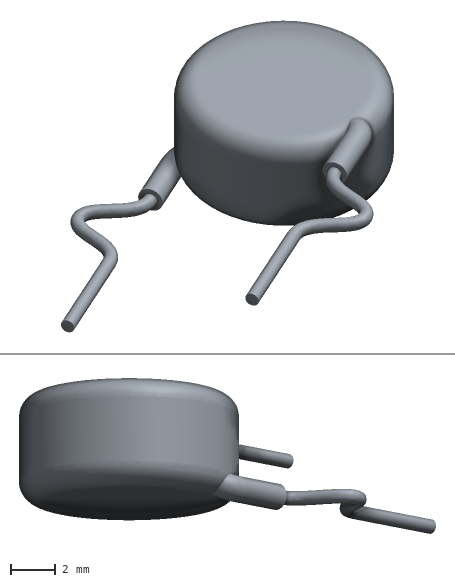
import cadquery as cq
import math

disc_diameter = 10.0
disc_height = 5.0
disc_fillet = 1.0

sleeve_radius = 0.6
sleeve_offset_x = 4.52
sleeve_offset_z = 2.12
sleeve_start_y = -2.4
sleeve_end_y = -disc_diameter / 2
tip_bend_radius = 1.1
tip_bend_angle = 60.0
tip_slope_angle = 28.0

lead_diameter = 0.65
lead_radius = lead_diameter / 2
kink_end_y = -10.0
kink_peak_y = (sleeve_end_y + kink_end_y) / 2
kink_width = 2.5
straight_handle = 1.5
peak_handle = 1.15
lead_end_y = -15.0

half_turn = 180.0


def make_disc():
    disc = cq.Workplane("XY").cylinder(disc_height, disc_diameter / 2)
    return disc.edges("%CIRCLE").fillet(disc_fillet)


def round_section(radius):
    """Circle across the sleeve axis on the +X, +Z side, facing -Y."""
    origin = (sleeve_offset_x, sleeve_start_y, sleeve_offset_z)
    return cq.Workplane("XZ", origin=origin).circle(radius)


def straight_rod(radius):
    """Round rod over the straight length of the sleeve."""
    return round_section(radius).extrude(sleeve_start_y - sleeve_end_y)


def make_sleeve():
    """Straight sleeve whose inner end bends into the disc, on the +X, +Z side."""
    slope = math.radians(tip_slope_angle)
    inward = cq.Vector(-math.cos(slope), 0, -math.sin(slope))
    tip_plane = cq.Plane(
        origin=(sleeve_offset_x, sleeve_start_y, sleeve_offset_z),
        xDir=inward,
        normal=(0, -1, 0),
    )
    tip = (
        cq.Workplane(tip_plane)
        .circle(sleeve_radius)
        .revolve(tip_bend_angle, (tip_bend_radius, 0.2, 0), (tip_bend_radius, 0, 0))
    )
    return straight_rod(sleeve_radius).union(tip)


def turned_over(workplane):
    """Copy on the -X, -Z side, made by half a turn about the Y axis."""
    return workplane.rotate((0, 0, 0), (0, 1, 0), half_turn)


def make_housing():
    """Disc and sleeves as one coating, with a blind bore for each lead."""
    sleeve = make_sleeve()
    bore = straight_rod(lead_radius)
    housing = make_disc().union(sleeve).union(turned_over(sleeve))
    return housing.cut(bore).cut(turned_over(bore))


def make_lead():
    """Lead on the +X, +Z side, from the bottom of its bore to its free end."""
    peak_x = sleeve_offset_x + kink_width
    path = (
        cq.Workplane("XY", origin=(0, 0, sleeve_offset_z))
        .moveTo(sleeve_offset_x, sleeve_start_y)
        .lineTo(sleeve_offset_x, sleeve_end_y)
        .bezier(
            [
                (sleeve_offset_x, sleeve_end_y),
                (sleeve_offset_x, sleeve_end_y - straight_handle),
                (peak_x, kink_peak_y + peak_handle),
                (peak_x, kink_peak_y),
            ]
        )
        .bezier(
            [
                (peak_x, kink_peak_y),
                (peak_x, kink_peak_y - peak_handle),
                (sleeve_offset_x, kink_end_y + straight_handle),
                (sleeve_offset_x, kink_end_y),
            ]
        )
        .lineTo(sleeve_offset_x, lead_end_y)
    )
    return round_section(lead_radius).sweep(path)


housing = make_housing()
upper_lead = make_lead()
leads = [upper_lead, turned_over(upper_lead)]

result = cq.Compound.makeCompound([housing.solids().val(), *[lead.val() for lead in leads]])